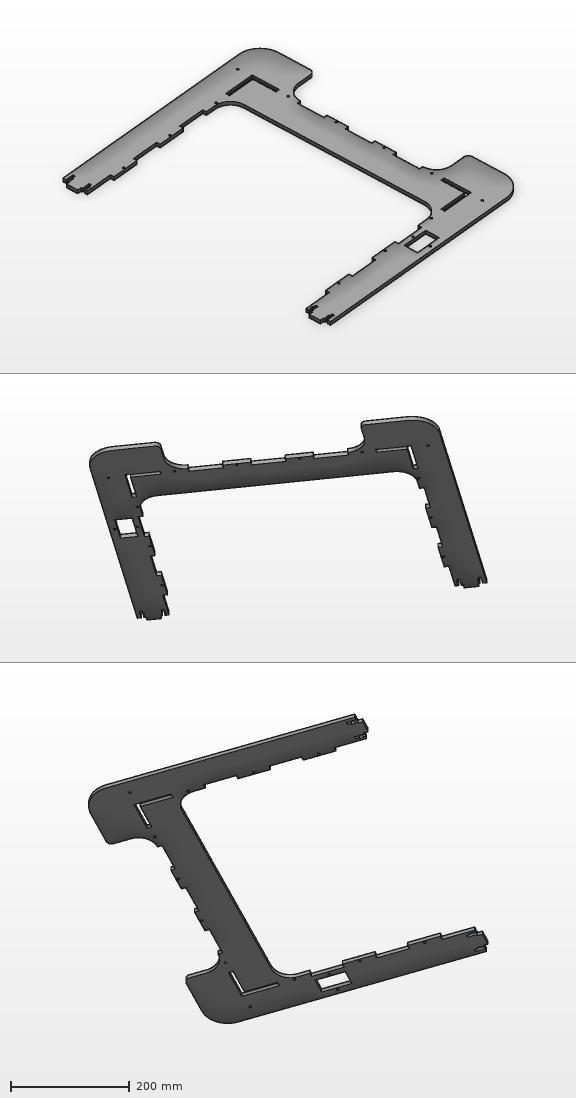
import cadquery as cq
import math

WIDTH = 600.0
LENGTH = 508.0
THICKNESS = 8.0
JOINT_DEPTH = 8.0
HOLE_DIAMETER = 4.0
OVERLAP = 1.0

HALF_WIDTH = WIDTH / 2
TOP_Y = LENGTH / 2
BOTTOM_Y = -LENGTH / 2
LEG_WIDTH = 54.5
LEG_RECESS_X = HALF_WIDTH - LEG_WIDTH
LEG_INNER_X = LEG_RECESS_X - JOINT_DEPTH
LEG_JOINT_X = (LEG_RECESS_X + LEG_INNER_X) / 2
BAR_TOP_Y = 178.1
BAR_RECESS_Y = BAR_TOP_Y - JOINT_DEPTH
BAR_JOINT_Y = (BAR_TOP_Y + BAR_RECESS_Y) / 2
BAR_BOTTOM_Y = 107.8
HEAD_INNER_X = 172.0

HEAD_OUTER_RADIUS = 47.0
HEAD_INNER_RADIUS = 10.0
HEAD_ROOT_RADIUS = 35.0
LEG_ROOT_RADIUS = 35.0

BAR_PITCH = 107.4
BAR_TAB_LENGTH = 48.0
BAR_HOLE_COUNT = 2
LEG_STEP = 59.35
LEG_JOINT_TOP_Y = 110.5
LEG_STEP_COUNT = 6
LEG_END_Y = LEG_JOINT_TOP_Y - LEG_STEP_COUNT * LEG_STEP
OUTER_HOLE_X = 274.3

TONGUE_WIDTH = 25.2
TONGUE_CENTER_X = 272.25
SNAP_SLOT_WIDTH = 4.5
SNAP_SLOT_LENGTH = 17.5
SNAP_SLOT_CENTERS_X = (254.3, 290.8)
SNAP_NOTCH_DEPTH = 2.1
SNAP_NOTCH_LENGTH = 7.0
SNAP_NOTCH_RISE = 4.5

WINDOW_WIDTH = 30.0
WINDOW_LENGTH = 55.0
WINDOW_X = 271.2
WINDOW_Y = 21.7
WINDOW_HOLE_SPACING = 39.0


def box(x_min, x_max, y_min, y_max):
    """Full-thickness block between the given limits."""
    size_x = x_max - x_min
    size_y = y_max - y_min
    block = cq.Workplane("XY").box(size_x, size_y, THICKNESS, centered=False)
    return block.translate((x_min, y_min, 0))


def arc_mid_offset(radius):
    """Distance along each axis from a square corner to the midpoint of its rounding arc."""
    return radius * (1 - math.sqrt(0.5))


def half_plate():
    """Right half of the frame, with plain joint edges."""
    outer = arc_mid_offset(HEAD_OUTER_RADIUS)
    inner = arc_mid_offset(HEAD_INNER_RADIUS)
    head_root = arc_mid_offset(HEAD_ROOT_RADIUS)
    leg_root = arc_mid_offset(LEG_ROOT_RADIUS)
    return (
        cq.Workplane("XY")
        .moveTo(0, BAR_BOTTOM_Y)
        .lineTo(LEG_INNER_X - LEG_ROOT_RADIUS, BAR_BOTTOM_Y)
        .threePointArc(
            (LEG_INNER_X - leg_root, BAR_BOTTOM_Y - leg_root),
            (LEG_INNER_X, BAR_BOTTOM_Y - LEG_ROOT_RADIUS),
        )
        .lineTo(LEG_INNER_X, LEG_END_Y)
        .lineTo(HALF_WIDTH, LEG_END_Y)
        .lineTo(HALF_WIDTH, TOP_Y - HEAD_OUTER_RADIUS)
        .threePointArc(
            (HALF_WIDTH - outer, TOP_Y - outer),
            (HALF_WIDTH - HEAD_OUTER_RADIUS, TOP_Y),
        )
        .lineTo(HEAD_INNER_X + HEAD_INNER_RADIUS, TOP_Y)
        .threePointArc(
            (HEAD_INNER_X + inner, TOP_Y - inner),
            (HEAD_INNER_X, TOP_Y - HEAD_INNER_RADIUS),
        )
        .lineTo(HEAD_INNER_X, BAR_TOP_Y + HEAD_ROOT_RADIUS)
        .threePointArc(
            (HEAD_INNER_X - head_root, BAR_TOP_Y + head_root),
            (HEAD_INNER_X - HEAD_ROOT_RADIUS, BAR_TOP_Y),
        )
        .lineTo(0, BAR_TOP_Y)
        .close()
        .extrude(THICKNESS)
    )


def cut_bar_joints(plate):
    """Recess the crossbar between its tabs; the outermost recess is a closed slot."""
    gap = BAR_PITCH - BAR_TAB_LENGTH
    plate = plate.cut(box(0, gap / 2, BAR_RECESS_Y, BAR_TOP_Y))
    recess_start = BAR_PITCH - gap / 2
    plate = plate.cut(box(recess_start, recess_start + gap, BAR_RECESS_Y, BAR_TOP_Y))
    slot_start = 2 * BAR_PITCH - gap / 2
    return plate.cut(box(slot_start, LEG_RECESS_X, BAR_RECESS_Y, BAR_TOP_Y))


def cut_leg_joints(plate):
    """Slot beside the crossbar, then every second step down the leg recessed."""
    plate = plate.cut(box(LEG_INNER_X, LEG_RECESS_X, LEG_JOINT_TOP_Y, BAR_TOP_Y))
    for step in range(1, LEG_STEP_COUNT, 2):
        recess_top = LEG_JOINT_TOP_Y - step * LEG_STEP
        plate = plate.cut(box(LEG_INNER_X, LEG_RECESS_X, recess_top - LEG_STEP, recess_top))
    return plate


def shape_leg_end(plate):
    """Tongue below the leg and two snap slots, each with a notch toward the inside."""
    tongue_start = TONGUE_CENTER_X - TONGUE_WIDTH / 2
    tongue_end = tongue_start + TONGUE_WIDTH
    plate = plate.union(box(tongue_start, tongue_end, BOTTOM_Y, LEG_END_Y + OVERLAP))
    for center_x in SNAP_SLOT_CENTERS_X:
        slot_start = center_x - SNAP_SLOT_WIDTH / 2
        slot_end = center_x + SNAP_SLOT_WIDTH / 2
        slot_top = LEG_END_Y + SNAP_SLOT_LENGTH
        plate = plate.cut(box(slot_start, slot_end, LEG_END_Y - OVERLAP, slot_top))
        notch_start = slot_start - SNAP_NOTCH_DEPTH
        notch_bottom = LEG_END_Y + SNAP_NOTCH_RISE
        notch_top = notch_bottom + SNAP_NOTCH_LENGTH
        plate = plate.cut(box(notch_start, slot_end, notch_bottom, notch_top))
    return plate


def drill(plate, points):
    """Through holes at the given XY points."""
    pins = cq.Workplane("XY").pushPoints(points).circle(HOLE_DIAMETER / 2).extrude(THICKNESS)
    return plate.cut(pins)


def joint_holes():
    """Hole centers of one half: crossbar tabs, head, and leg tabs."""
    points = [(BAR_PITCH * (index + 0.5), BAR_JOINT_Y) for index in range(BAR_HOLE_COUNT)]
    points.append((OUTER_HOLE_X, BAR_JOINT_Y))
    for step in range(0, LEG_STEP_COUNT, 2):
        points.append((LEG_JOINT_X, LEG_JOINT_TOP_Y - (step + 0.5) * LEG_STEP))
    return points


def cut_window(plate):
    """Window in the right leg with a screw hole on either side."""
    window = cq.Workplane("XY").rect(WINDOW_WIDTH, WINDOW_LENGTH).extrude(THICKNESS)
    plate = plate.cut(window.translate((WINDOW_X, WINDOW_Y, 0)))
    offset = WINDOW_HOLE_SPACING / 2
    return drill(plate, [(WINDOW_X - offset, WINDOW_Y), (WINDOW_X + offset, WINDOW_Y)])


right_half = half_plate()
right_half = cut_bar_joints(right_half)
right_half = cut_leg_joints(right_half)
right_half = shape_leg_end(right_half)
right_half = drill(right_half, joint_holes())
frame = right_half.union(right_half.mirror("YZ"))
result = cut_window(frame)